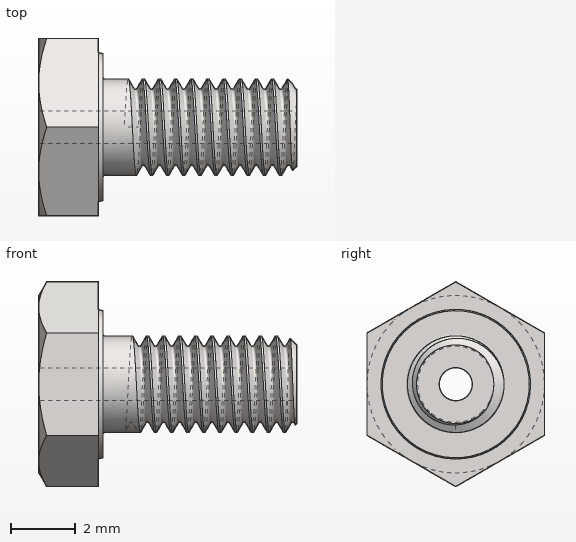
import cadquery as cq
import math

total_length = 8.0
across_flats = 5.5
head_height = 1.85
head_chamfer_angle = 30.0
washer_diameter = 4.64
washer_thickness = 0.15
washer_taper = 15.0
bore_diameter = 1.02

shank_diameter = 3.0
neck_fillet = 0.04
tip_chamfer = 0.28

thread_pitch = shank_diameter / 6
thread_depth = 0.32
thread_start = 2.87
crest_width = thread_pitch / 8
flank_angle = 30.0
cutter_overshoot = 0.02

across_corners = across_flats / math.cos(math.radians(30))
shank_radius = shank_diameter / 2
washer_face = head_height + washer_thickness
blank_length = total_length + 3 * thread_pitch


def make_head():
    """Hexagon with corners at +Z and -Z, its outer corners turned off by a cone."""
    hexagon = (
        cq.Workplane("YZ")
        .transformed(rotate=(0, 0, 90))
        .polygon(6, across_corners)
        .extrude(head_height)
    )
    corner_radius = across_corners / 2
    chamfer_run = (corner_radius - across_flats / 2) * math.tan(math.radians(head_chamfer_angle))
    turned_blank = (
        cq.Workplane("XY")
        .polyline([
            (0, 0),
            (0, across_flats / 2),
            (chamfer_run, corner_radius),
            (head_height, corner_radius),
            (head_height, 0),
        ])
        .close()
        .revolve(360, (0, 0, 0), (1, 0, 0))
    )
    return hexagon.intersect(turned_blank)


def make_shank():
    """Overlong shank with a fillet at the washer face, to be threaded and then trimmed."""
    return (
        cq.Workplane("XY")
        .moveTo(head_height, 0)
        .lineTo(head_height, shank_radius + neck_fillet)
        .lineTo(washer_face, shank_radius + neck_fillet)
        .radiusArc((washer_face + neck_fillet, shank_radius), -neck_fillet)
        .lineTo(blank_length, shank_radius)
        .lineTo(blank_length, 0)
        .close()
        .revolve(360, (0, 0, 0), (1, 0, 0))
    )


def make_thread_groove():
    """Right-handed V groove with a rounded root, running on past the finished tip."""
    flank_slope = math.tan(math.radians(flank_angle))
    mouth_half_width = (thread_pitch - crest_width) / 2 + cutter_overshoot * flank_slope
    mouth_radius = shank_radius + cutter_overshoot
    root_radius = shank_radius - thread_depth
    apex_radius = mouth_radius - mouth_half_width / flank_slope
    flank_sine = math.sin(math.radians(flank_angle))
    root_rounding = (root_radius - apex_radius) * flank_sine / (1 - flank_sine)
    tangent_half_width = root_rounding * math.cos(math.radians(flank_angle))
    tangent_radius = apex_radius + tangent_half_width / flank_slope

    groove_length = total_length - thread_start + thread_pitch
    helix = cq.Wire.makeHelix(thread_pitch, groove_length, shank_radius)
    groove = (
        cq.Workplane("XZ")
        .moveTo(mouth_radius, -mouth_half_width)
        .lineTo(tangent_radius, -tangent_half_width)
        .threePointArc((root_radius, 0), (tangent_radius, tangent_half_width))
        .lineTo(mouth_radius, mouth_half_width)
        .close()
        .sweep(cq.Workplane(helix), isFrenet=True)
    )
    return groove.rotate((0, 0, 0), (0, 1, 0), 90).translate((thread_start, 0, 0))


def make_tip_trimmer():
    """Waste removed around and beyond the end of the bar to leave a chamfered tip."""
    clearance = 0.4
    outer_radius = shank_radius + clearance
    return (
        cq.Workplane("XY")
        .moveTo(total_length, 0)
        .lineTo(total_length, shank_radius - tip_chamfer)
        .lineTo(total_length - tip_chamfer - clearance, outer_radius)
        .lineTo(blank_length + clearance, outer_radius)
        .lineTo(blank_length + clearance, 0)
        .close()
        .revolve(360, (0, 0, 0), (1, 0, 0))
    )


threaded_shank = make_shank().cut(make_thread_groove()).cut(make_tip_trimmer())
washer = (
    cq.Workplane("YZ", origin=(head_height, 0, 0))
    .circle(washer_diameter / 2)
    .extrude(washer_thickness, taper=washer_taper)
)
bore = cq.Workplane("YZ").circle(bore_diameter / 2).extrude(total_length)
result = make_head().union(washer).union(threaded_shank).cut(bore)